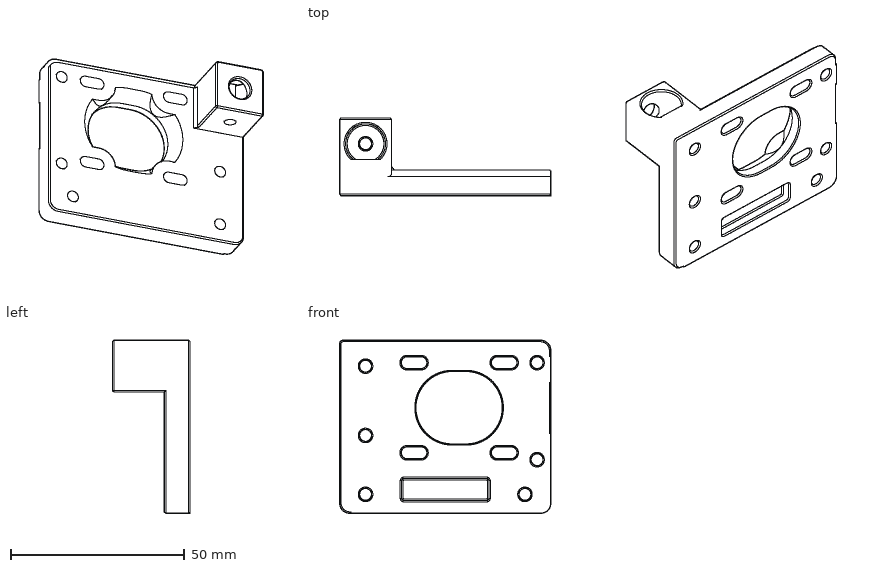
import cadquery as cq
import math

plate_width = 61.0
plate_height = 50.0
plate_thickness = 7.5
corner_radius = 3.0
edge_chamfer = 0.45
back_top_chamfer = 2.0

sharp_front_edges = [
    (3.3, plate_width, 0.0, corner_radius),
    (plate_width - corner_radius, plate_width, corner_radius, 23.0),
    (plate_width - corner_radius, plate_width, 37.8, 45.3),
]

block_size = 15.0
total_depth = plate_thickness + block_size
block_bottom = plate_height - block_size
block_edge_radius = 1.0
gusset_leg = 0.85

bore_x = block_size / 2
bore_y = plate_thickness + block_size / 2
bore_diameter = 11.5
bore_floor_z = 38.0
bore_chamfer = 0.45
bore_flat_offset = 4.5
bore_flat_y = bore_y - bore_flat_offset

access_diameter = 6.5

screw_diameter = 3.4
hole_chamfer = 0.4
screw_positions = [(7.5, 42.5), (7.5, 22.5), (7.5, 5.5), (57.0, 43.5), (57.0, 15.5), (53.5, 5.5)]

motor_x = 34.5
motor_z = 30.5
motor_slide = 4.0
motor_screw_spacing = 26.0
opening_diameter = 20.9
opening_chamfer = 0.35

flare_start = 3.2
flare_angle = 34.0
slot_boss_diameter = 10.6

recess_width = 25.2
recess_height = 6.4
recess_depth = 3.0
recess_x = 30.5
recess_z = 6.9
recess_corner_radius = 0.8
recess_bevel = 0.4


def facing_back(x, z, y=0.0):
    """Workplane with its origin at (x, y, z) and its normal along +Y."""
    return cq.Workplane(cq.Plane((x, y, z), (1, 0, 0), (0, 1, 0)))


def box_between(low, high):
    """Box spanning two opposite corner points."""
    size = [b - a for a, b in zip(low, high)]
    return cq.Workplane("XY", low).box(*size, centered=False)


def make_plate():
    sharp = box_between((0, 0, 0), (plate_width, plate_thickness, plate_height))
    sharp = sharp.edges("|Y").edges(">X or <Z").fillet(corner_radius)
    sharp = sharp.edges("|Y").edges("<X and >Z").fillet(block_edge_radius)
    plate = sharp.faces("<Y or >Y").chamfer(edge_chamfer)
    for x_min, x_max, z_min, z_max in sharp_front_edges:
        stretch = box_between((x_min, 0, z_min), (x_max, edge_chamfer, z_max))
        plate = plate.union(sharp.intersect(stretch))

    slope_start = plate_thickness - back_top_chamfer
    outline = sharp.faces("<Y").val().translate(cq.Vector(0, slope_start, 0))
    drop = cq.Vector(0, back_top_chamfer, -back_top_chamfer)
    slope = cq.Workplane(cq.Solid.extrudeLinear(outline, drop))
    front_part = box_between((0, 0, 0), (plate_width, slope_start, plate_height))
    lower_part = box_between((0, slope_start, 0), (plate_width, plate_thickness, plate_height / 2))
    return plate.intersect(front_part.union(lower_part).union(slope))


def make_block():
    block = box_between((0, edge_chamfer, block_bottom), (block_size, total_depth, plate_height))
    block = block.edges("|Y and >Z").fillet(block_edge_radius)
    block = block.edges("|Y and <Z").chamfer(edge_chamfer)
    return block.faces(">Y").chamfer(edge_chamfer)


def make_gusset():
    """Small triangular fill where the block's right side meets the plate."""
    slope_z = plate_height - back_top_chamfer
    leg = gusset_leg
    outline = [(-leg, -leg), (leg, -leg), (leg, 0), (0, leg), (-leg, leg)]
    corner = cq.Workplane("XY", (block_size, plate_thickness, block_bottom))
    return corner.polyline(outline).close().extrude(slope_z - block_bottom)


def through_slot(x, z, diameter, slide, chamfer, length=plate_thickness):
    """Cutter for a hole (slide = 0) or a slot along X, with a chamfered front rim."""
    def outline(width):
        plane = facing_back(x, z)
        return plane.slot2D(width + slide, width) if slide else plane.circle(width / 2)
    rim = outline(diameter + 2 * chamfer).extrude(chamfer, taper=45)
    return outline(diameter).extrude(length).union(rim)


def recess_cutter():
    def outline(grow):
        rectangle = cq.Sketch().rect(recess_width + 2 * grow, recess_height + 2 * grow)
        rounded = rectangle.vertices().fillet(recess_corner_radius + grow)
        return facing_back(recess_x, recess_z).placeSketch(rounded)
    pocket = outline(0).extrude(recess_depth).faces(">Y").chamfer(recess_bevel)
    return pocket.union(outline(recess_bevel).extrude(recess_bevel, taper=45))


def bore_disc(z, diameter, height, taper=0):
    return cq.Workplane("XY", (bore_x, bore_y, z)).circle(diameter / 2).extrude(height, taper=taper)


def bore_cutter():
    rim_d = bore_diameter + 2 * bore_chamfer
    bore = bore_disc(bore_floor_z, bore_diameter, plate_height - bore_floor_z)
    bore = bore.faces("<Z").chamfer(bore_chamfer)
    bore = bore.union(bore_disc(plate_height, rim_d, -bore_chamfer, 45))
    keep = box_between((0, bore_flat_y, bore_floor_z), (block_size, total_depth, plate_height))
    bore = bore.intersect(keep)
    hole = bore_disc(block_bottom, screw_diameter, block_size)
    hole = hole.union(bore_disc(bore_floor_z, screw_diameter + 2 * hole_chamfer, -hole_chamfer, 45))
    return bore.union(hole)


def flare_cutter(slot_positions):
    """Widening of the motor opening towards the back, leaving a boss around each slot."""
    flare_depth = plate_thickness - flare_start
    flare = (facing_back(motor_x, motor_z, flare_start)
             .slot2D(opening_diameter + motor_slide, opening_diameter)
             .extrude(flare_depth, taper=-flare_angle))
    for x, z in slot_positions:
        boss = (facing_back(x, z, flare_start)
                .slot2D(slot_boss_diameter + motor_slide, slot_boss_diameter)
                .extrude(flare_depth))
        flare = flare.cut(boss)
    return flare


def access_cutter(x, z):
    """Screw head opening through the back wall of the block, bevelled at both ends."""
    rim_diameter = access_diameter + 2 * hole_chamfer
    inner_rim_y = bore_y + math.sqrt(bore_diameter ** 2 - rim_diameter ** 2) / 2

    def cylinder(y, diameter, length, taper=0):
        return facing_back(x, z, y).circle(diameter / 2).extrude(length, taper=taper)

    opening = cylinder(bore_y, access_diameter, total_depth - bore_y)
    clearance = cylinder(bore_y, rim_diameter, inner_rim_y - bore_y)
    inner_bevel = cylinder(inner_rim_y, rim_diameter, hole_chamfer, 45)
    outer_bevel = cylinder(total_depth, rim_diameter, -hole_chamfer, 45)
    return opening.union(clearance).union(inner_bevel).union(outer_bevel)


half_spacing = motor_screw_spacing / 2
slot_positions = [
    (motor_x + side_x * half_spacing, motor_z + side_z * half_spacing)
    for side_x in (-1, 1)
    for side_z in (-1, 1)
]

body = make_plate().union(make_block()).union(make_gusset())
for x, z in screw_positions:
    body = body.cut(through_slot(x, z, screw_diameter, 0, hole_chamfer, total_depth))
for x, z in slot_positions:
    body = body.cut(through_slot(x, z, screw_diameter, motor_slide, hole_chamfer))
body = body.cut(through_slot(motor_x, motor_z, opening_diameter, motor_slide, opening_chamfer))
body = body.cut(flare_cutter(slot_positions))
body = body.cut(recess_cutter())
body = body.cut(bore_cutter())

result = body.cut(access_cutter(*screw_positions[0]))